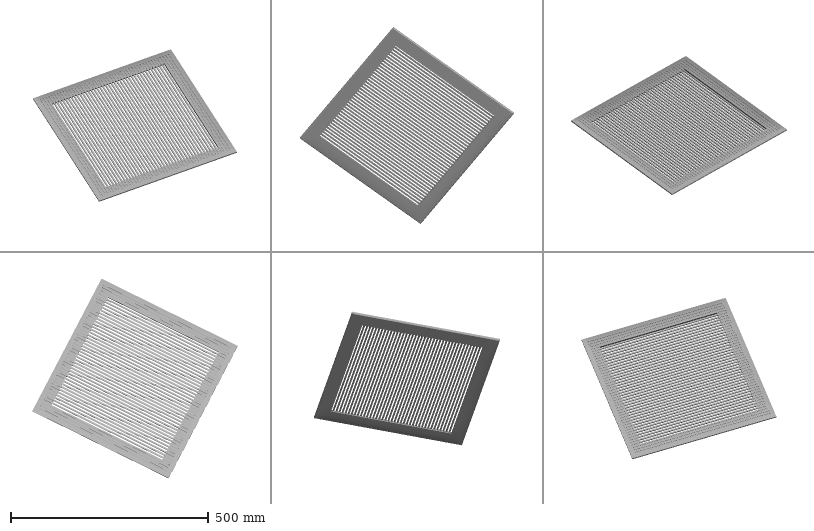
import cadquery as cq

plate_side = 387.5
plate_thickness = 6.0
bottom_chamfer = 2.0

row_count = 46
row_span = 360.0
row_pitch = row_span / (row_count - 1)
slot_width = row_pitch / 2

groove_length = row_span + slot_width
groove_depth = 1.0

blind_rows = 3
opening_length = groove_length - 2 * blind_rows * row_pitch

bar_thickness = 3.0
recess_side = opening_length
recess_depth = plate_thickness - bar_thickness


def square_block(side, height):
    """Square block standing on Z = 0, centred on the Z axis."""
    return cq.Workplane("XY").box(side, side, height, centered=(True, True, False))


def slot_rows(row_numbers, length, depth):
    """Round-ended slots reaching down from the top face, one for each row."""
    centres = [(0, row * row_pitch - row_span / 2) for row in row_numbers]
    return (
        cq.Workplane("XY", origin=(0, 0, plate_thickness))
        .pushPoints(centres)
        .slot2D(length, slot_width)
        .extrude(-depth)
    )


plate = square_block(plate_side, plate_thickness).faces("<Z").chamfer(bottom_chamfer)
recess = square_block(recess_side, recess_depth)
grooves = slot_rows(range(row_count), groove_length, groove_depth)
open_rows = range(blind_rows, row_count - blind_rows)
openings = slot_rows(open_rows, opening_length, plate_thickness)

result = plate.cut(recess).cut(grooves).cut(openings)